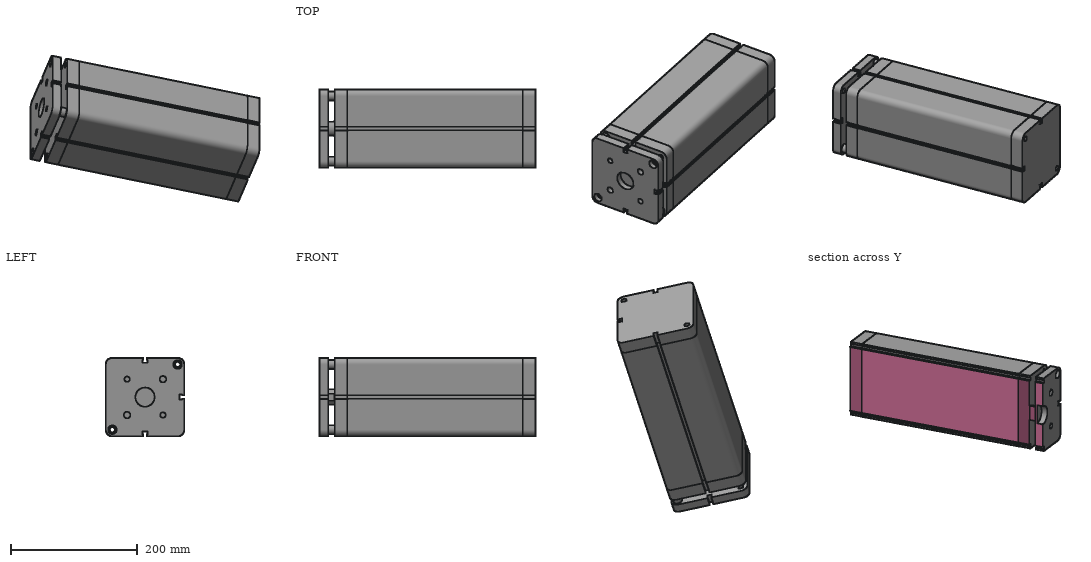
import cadquery as cq

length = 341.0
side = 124.0
corner_radius = 10.2

plate_thickness = 14.0
plate_gap = 10.0
cap_length = 20.0
cap_start = plate_thickness + plate_gap
tube_start = cap_start + cap_length
rear_cap_start = length - cap_length
tube_length = rear_cap_start - tube_start

slot_depth = 7.5
slot_base_width = 7.5
cap_slot_mouth = 5.8
tube_slot_mouth = 5.0
slot_neck_depth = 3.5
slot_angles = (0, 90, 180)

corner_offset = 51.5
screw_hole_diameter = 8.2
screw_head_diameter = 13.5
screw_head_depth = 9.0
guide_diameter = 14.3

plate_hole_offset = 28.3
thread_hole_diameter = 8.5
dowel_hole_diameter = 10.2
recess_diameter = 30.5
recess_depth = 10.2

rod_diameter = 25.0
rod_flat_width = 22.0
rod_collar = 0.7

rising_diagonal = ((1, 1), (-1, -1))
falling_diagonal = ((-1, 1), (1, -1))


def diagonal_points(signs, offset):
    return [(y * offset, z * offset) for y, z in signs]


def section_plane(x):
    """Workplane across the cylinder axis, with local axes along Y and Z."""
    return cq.Workplane("YZ", origin=(x, 0, 0))


def t_slot(x, depth_x, mouth):
    """Cutter for the T-slot of the top face."""
    top = side / 2
    floor = top - slot_depth
    shoulder = top - slot_neck_depth
    half_mouth = mouth / 2
    half_base = slot_base_width / 2
    outline = [
        (half_mouth, top),
        (half_mouth, shoulder),
        (half_base, shoulder),
        (half_base, floor),
    ]
    mirrored = [(-y, z) for y, z in reversed(outline)]
    return section_plane(x).polyline(outline + mirrored).close().extrude(depth_x)


def slotted_block(x, depth_x, mouth):
    """Rounded square block along X with its three T-slots."""
    block = section_plane(x).rect(side, side).extrude(depth_x)
    block = block.edges("|X").fillet(corner_radius)
    for angle in slot_angles:
        block = block.cut(t_slot(x, depth_x, mouth).rotate((0, 0, 0), (1, 0, 0), angle))
    return block


def drill(body, x, depth_x, points, diameter):
    return body.cut(section_plane(x).pushPoints(points).circle(diameter / 2).extrude(depth_x))


def make_housing_section(x, depth_x, mouth):
    """Cap or tube, with the two screw holes running through it."""
    block = slotted_block(x, depth_x, mouth)
    return drill(block, x, depth_x, diagonal_points(falling_diagonal, corner_offset), screw_hole_diameter)


def make_yoke():
    """End plate with its two guide rods, which reach to the front cap."""
    plate = slotted_block(0, plate_thickness, cap_slot_mouth)
    screw_points = diagonal_points(falling_diagonal, corner_offset)
    thread_points = diagonal_points(rising_diagonal, plate_hole_offset)
    dowel_points = diagonal_points(falling_diagonal, plate_hole_offset)
    plate = drill(plate, 0, plate_thickness, screw_points, screw_hole_diameter)
    plate = drill(plate, 0, screw_head_depth, screw_points, screw_head_diameter)
    plate = drill(plate, 0, plate_thickness, thread_points, thread_hole_diameter)
    plate = drill(plate, 0, plate_thickness, dowel_points, dowel_hole_diameter)
    plate = drill(plate, 0, recess_depth, [(0, 0)], recess_diameter)
    guides = (
        section_plane(plate_thickness)
        .pushPoints(diagonal_points(rising_diagonal, corner_offset))
        .circle(guide_diameter / 2)
        .extrude(plate_gap)
    )
    return plate.union(guides)


def make_piston_rod():
    """Round rod between plate and front cap, with wrench flats facing -Y and +Y."""
    rod = section_plane(plate_thickness).circle(rod_diameter / 2).extrude(plate_gap)
    flat_length = plate_gap - rod_collar
    flats = section_plane(plate_thickness).rect(rod_flat_width, rod_diameter).extrude(flat_length)
    collar = section_plane(cap_start - rod_collar).circle(rod_diameter / 2).extrude(rod_collar)
    return rod.intersect(flats.union(collar))


yoke = make_yoke()
piston_rod = make_piston_rod()
front_cap = make_housing_section(cap_start, cap_length, cap_slot_mouth)
tube = make_housing_section(tube_start, tube_length, tube_slot_mouth)
rear_cap = make_housing_section(rear_cap_start, cap_length, cap_slot_mouth)

result = cq.Compound.makeCompound([
    yoke.val(),
    piston_rod.val(),
    front_cap.val(),
    tube.val(),
    rear_cap.val(),
])